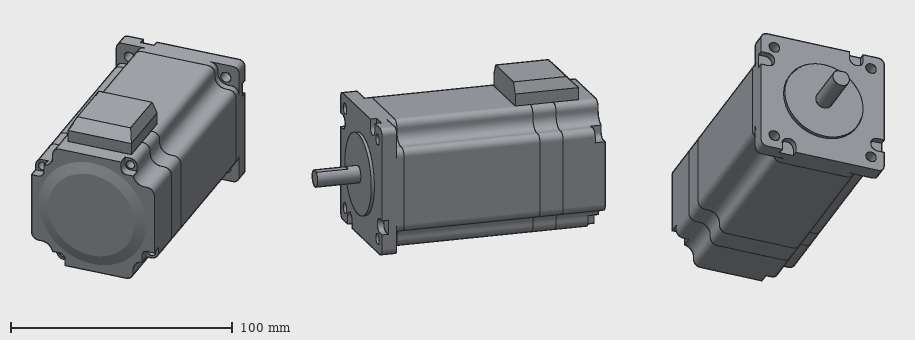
import cadquery as cq

body_width = 60.0
half_width = body_width / 2

flange_depth = 7.0
stator_start = 10.5
spacer_start = 75.0
cover_start = 86.0
cover_end = 106.0
motor_end = 107.5

flange_corner_radius = 3.0
mount_hole_offset = 23.57
mount_hole_diameter = 5.0
pilot_diameter = 38.1
pilot_height = 1.5

shaft_diameter = 8.0
shaft_length = 22.0
flat_length = 15.0
flat_cut = 0.5

land_half_width = 19.65
channel_radius = 5.4
lip_radius = 3.5

screw_along_side = 16.4
screw_edge_distance = 3.3
screw_from_axis = half_width - screw_edge_distance
screw_hole_diameter = 4.0
front_slot_width = 6.6
front_slot_depth = 3.0
pocket_radius = 2.7
pocket_depth = 4.8
pocket_overrun = 0.5

disc_base_radius = 26.25
disc_face_radius = 21.0

box_width = 31.0
box_length = 30.0
box_height = 10.7
box_start = 68.0
box_end = box_start + box_length
box_bevel_height = 5.0
box_side_bevel = 2.5
box_rear_bevel = 5.0
box_top = half_width + box_height
box_shoulder = box_top - box_bevel_height


def plane_at(depth):
    """Plane across the motor axis; extruding from it runs backwards."""
    return cq.Workplane("XZ", origin=(0, -depth, 0))


def is_channel_corner(edge):
    """True for the edges at the inner corners of the four channels."""
    centre = edge.Center()
    tolerance = 0.01
    return abs(abs(centre.x) - abs(centre.z)) < tolerance


def body_section(start, end):
    """Square section with a rounded channel along each corner."""
    length = end - start
    land_width = 2 * land_half_width
    flat_bar = plane_at(start).rect(body_width, land_width).extrude(length).edges("|Y").fillet(lip_radius)
    tall_bar = plane_at(start).rect(land_width, body_width).extrude(length).edges("|Y").fillet(lip_radius)
    cross = flat_bar.union(tall_bar)
    return cross.edges("|Y").filter(is_channel_corner).fillet(channel_radius)


def four_sides(cutter):
    """Repeat a cutter made for the top side on all four sides."""
    cutters = cutter
    for turn in range(1, 4):
        cutters = cutters.union(cutter.rotate((0, 0, 0), (0, 1, 0), 90 * turn))
    return cutters


def output_shaft():
    """Round shaft with a flat on its +Z side at the free end."""
    shaft = plane_at(0).circle(shaft_diameter / 2).extrude(-shaft_length)
    flat = (
        plane_at(-shaft_length)
        .center(0, shaft_diameter / 2)
        .rect(shaft_diameter, 2 * flat_cut)
        .extrude(flat_length)
    )
    return shaft.cut(flat)


def mount_holes():
    """Four through holes at the corners of the flange."""
    hole_pitch = 2 * mount_hole_offset
    return (
        plane_at(0)
        .rect(hole_pitch, hole_pitch, forConstruction=True)
        .vertices()
        .circle(mount_hole_diameter / 2)
        .extrude(flange_depth)
    )


def front_slot():
    """Round-bottomed slot in the mounting face, open to the top side."""
    radius = front_slot_width / 2
    left = -screw_along_side - radius
    right = -screw_along_side + radius
    return (
        plane_at(0)
        .moveTo(left, half_width)
        .lineTo(left, screw_from_axis)
        .threePointArc((-screw_along_side, screw_from_axis - radius), (right, screw_from_axis))
        .lineTo(right, half_width)
        .close()
        .extrude(front_slot_depth)
    )


def make_flange():
    """Mounting flange with its pilot and the output shaft in one piece."""
    plate = plane_at(0).rect(body_width, body_width).extrude(flange_depth)
    plate = plate.edges("|Y").fillet(flange_corner_radius)
    plate = plate.cut(mount_holes()).cut(four_sides(front_slot()))
    neck = body_section(flange_depth, stator_start)
    pilot = plane_at(0).circle(pilot_diameter / 2).extrude(-pilot_height)
    return plate.union(neck).union(pilot).union(output_shaft())


def screw_pocket():
    """Pocket for a screw head on the top side, open to the side and into its channel."""
    inner_side = screw_along_side - pocket_radius
    floor = screw_from_axis - pocket_radius
    pocket_width = land_half_width + pocket_overrun - inner_side
    pocket_height = half_width - floor
    return (
        plane_at(cover_end - pocket_depth)
        .center(inner_side, floor)
        .rect(pocket_width, pocket_height, centered=False)
        .extrude(pocket_depth)
        .edges("|Y").edges("<X").edges("<Z")
        .fillet(pocket_radius)
    )


def screw_hole():
    """Clearance hole through the rear cover for the screw on the top side."""
    return (
        plane_at(cover_start)
        .center(screw_along_side, screw_from_axis)
        .circle(screw_hole_diameter / 2)
        .extrude(cover_end - cover_start)
    )


def make_rear_cover():
    """Rear cover with a raised disc, screw pockets and screw holes."""
    cover = body_section(cover_start, cover_end)
    disc = (
        plane_at(cover_end)
        .circle(disc_base_radius)
        .workplane(offset=motor_end - cover_end)
        .circle(disc_face_radius)
        .loft()
    )
    return cover.cut(four_sides(screw_pocket().union(screw_hole()))).union(disc)


def make_connector_box():
    """Box bevelled along both sides and at the rear of its top."""
    half_box = box_width / 2
    half_top = half_box - box_side_bevel
    across = (
        plane_at(box_start)
        .polyline([
            (-half_box, half_width),
            (half_box, half_width),
            (half_box, box_shoulder),
            (half_top, box_top),
            (-half_top, box_top),
            (-half_box, box_shoulder),
        ])
        .close()
        .extrude(box_length)
    )
    along = (
        cq.Workplane("YZ")
        .polyline([
            (-box_start, half_width),
            (-box_start, box_top),
            (box_rear_bevel - box_end, box_top),
            (-box_end, box_shoulder),
            (-box_end, half_width),
        ])
        .close()
        .extrude(half_box, both=True)
    )
    return across.intersect(along)


flange = make_flange()
stator = body_section(stator_start, spacer_start)
spacer = body_section(spacer_start, cover_start)
rear_cover = make_rear_cover()
connector_box = make_connector_box()

result = cq.Compound.makeCompound([
    flange.val(),
    stator.val(),
    spacer.val(),
    rear_cover.val(),
    connector_box.val(),
])